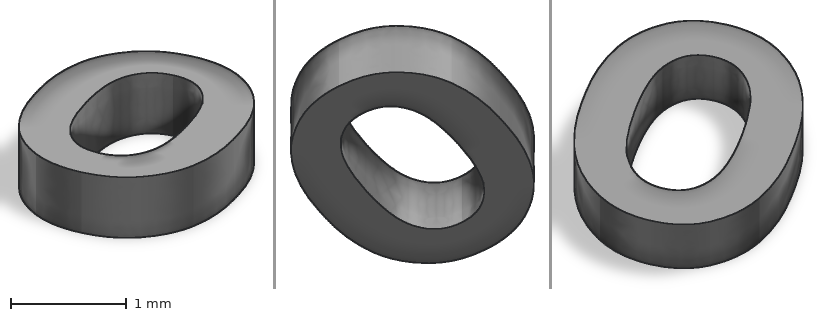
import cadquery as cq

width = 1.9
length = 2.29
height = 0.6

opening_width = 0.966
opening_length = 1.535

outer_flat = 0.055

outer_quarter = [
    (width / 2, outer_flat),
    (width / 2, 0.378),
    (0.831, 0.632),
    (0.725, 0.856),
    (0.5, 1.008),
    (0.289, length / 2),
    (0, length / 2),
]
inner_quarter = [
    (opening_width / 2, 0),
    (opening_width / 2, 0.357),
    (0.392, 0.527),
    (0.26, opening_length / 2),
    (0, opening_length / 2),
]


def mirrored(points, x_sign, y_sign):
    return [(x_sign * x, y_sign * y) for x, y in points]


def oval_prism(quarter):
    """Extrude the closed oval made from four mirrored copies of a quarter."""
    quarters = [
        quarter,
        mirrored(quarter, -1, 1)[::-1],
        mirrored(quarter, -1, -1),
        mirrored(quarter, 1, -1)[::-1],
    ]
    has_flat = quarter[0][1] > 0
    sketch = cq.Workplane("XY").moveTo(*quarter[0])
    for index, points in enumerate(quarters):
        if index == 2 and has_flat:
            sketch = sketch.lineTo(*points[0])
        for start in range(0, len(points) - 2, 2):
            sketch = sketch.bezier(points[start + 1:start + 3], includeCurrent=True)
    return sketch.close().extrude(height)


result = oval_prism(outer_quarter).cut(oval_prism(inner_quarter))